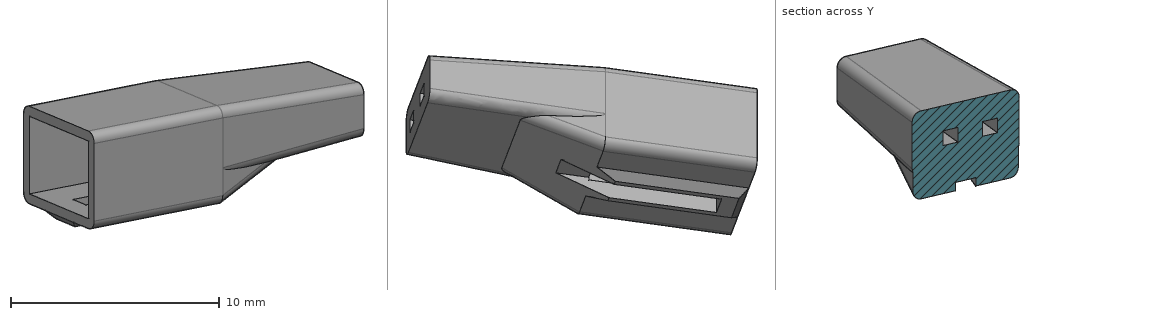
import cadquery as cq
import math

body_width = 6.0
body_height = 4.9
body_length = 7.5
wall = 0.5
corner_radius = 0.5

total_length = 16.05
tail_length = total_length - body_length
tail_root_height = 3.5
tail_tip_height = 2.7
tail_tip_width = 5.1
tail_mid_z = body_height - tail_root_height / 2

ramp_slope = 0.4
ramp_side_draft = 8.0
ramp_length = 5.0

rib_height = 0.4
rib_base_width = 2.4
rib_crest_width = rib_base_width - 2 * rib_height

slot_width = 1.1
slot_front_y = 1.2
slot_notch = 0.15
slot_roof_z = wall + slot_notch

hole_width = 0.8
hole_height = 0.75
hole_pitch = 2.2
hole_pair_x = 0.25


def box_from(x_mid, y_front, z_bottom, width, length, height):
    """Box centred on x_mid that extends towards +Y and +Z."""
    box = cq.Workplane("XY").box(width, length, height, centered=(True, False, False))
    return box.translate((x_mid, y_front, z_bottom))


def make_body():
    body = box_from(0, 0, 0, body_width, body_length, body_height)
    return body.edges("|Y").fillet(corner_radius)


def tail_section(width, height, distance):
    """Rounded rectangle across the tail at a distance behind the body."""
    section = cq.Sketch().rect(width, height).vertices().fillet(corner_radius).reset()
    return section.moved(cq.Location(cq.Vector(0, 0, -distance)))


def make_tail():
    root = tail_section(body_width, tail_root_height, 0)
    tip = tail_section(tail_tip_width, tail_tip_height, tail_length)
    root_plane = cq.Workplane("XZ", origin=(0, body_length, tail_mid_z))
    return root_plane.placeSketch(root, tip).loft()


def make_ramp():
    """Wedge under the tail; its back end is buried inside the tail."""
    ramp_end_y = body_length + ramp_length
    profile = [
        (body_length, 0),
        (ramp_end_y, ramp_slope * ramp_length),
        (ramp_end_y, tail_mid_z),
        (body_length, tail_mid_z),
    ]
    wedge = cq.Workplane("YZ").polyline(profile).close().extrude(body_width / 2, both=True)
    front_x = body_width / 2
    end_x = front_x - ramp_length * math.tan(math.radians(ramp_side_draft))
    plan_points = [
        (-front_x, body_length),
        (front_x, body_length),
        (end_x, ramp_end_y),
        (-end_x, ramp_end_y),
    ]
    plan = cq.Workplane("XY").polyline(plan_points).close().extrude(tail_mid_z)
    sloping_edges = "not (|X or |Z or #Z)"
    return wedge.intersect(plan).edges(sloping_edges).fillet(corner_radius)


def make_rib():
    """Pad whose back end carries the slope of the ramp down to its crest."""
    slope_run = rib_height / ramp_slope
    side_points = [
        (0, 0),
        (rib_height, -rib_height),
        (body_length - slope_run, -rib_height),
        (body_length, 0),
    ]
    side = cq.Workplane("YZ").polyline(side_points).close().extrude(rib_base_width / 2, both=True)
    base_x = rib_base_width / 2
    crest_x = rib_crest_width / 2
    end_points = [(-base_x, 0), (base_x, 0), (crest_x, -rib_height), (-crest_x, -rib_height)]
    end = cq.Workplane("XZ").polyline(end_points).close().extrude(-body_length)
    return side.intersect(end)


def make_cavity():
    return box_from(0, 0, wall, body_width - 2 * wall, body_length, body_height - 2 * wall)


def make_slot():
    """Slot that runs from near the mouth back until it leaves through the ramp."""
    slot_end_y = body_length + slot_roof_z / ramp_slope
    slot_height = slot_roof_z + rib_height
    return box_from(0, slot_front_y, -rib_height, slot_width, slot_end_y - slot_front_y, slot_height)


def make_wire_hole(x_mid):
    z_bottom = tail_mid_z - hole_height / 2
    return box_from(x_mid, body_length, z_bottom, hole_width, tail_length, hole_height)


result = make_body().union(make_tail()).union(make_ramp()).union(make_rib())
result = result.cut(make_cavity()).cut(make_slot())
for side in (-1, 1):
    result = result.cut(make_wire_hole(hole_pair_x + side * hole_pitch / 2))